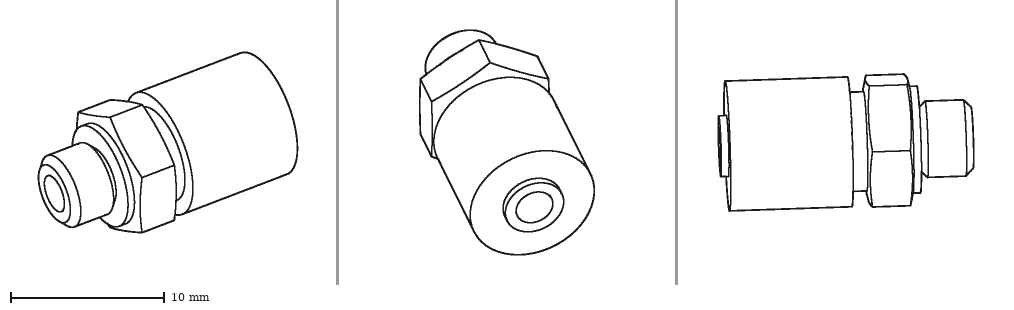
import cadquery as cq
import math

thread_chamfer = 0.5
relief_start = 3.0
collar_start = 3.5
hex_start = 4.0
hex_end = 7.0
sleeve_start = 8.0
sleeve_end = 16.0
total_length = 16.5

bore_diameter = 2.5
thread_diameter = 5.0
thread_tip_diameter = thread_diameter - 2 * thread_chamfer
collar_diameter = 7.0
neck_diameter = 6.5
sleeve_diameter = 8.5
tube_diameter = 4.0

hex_across_flats = 8.0
hex_across_corners = hex_across_flats / math.cos(math.pi / 6)
hex_face_diameter = collar_diameter
hex_chamfer_length = 0.26


def cylinder(diameter, start, end):
    """Solid cylinder on the Y axis between two stations."""
    plane = cq.Workplane("XZ", origin=(0, start, 0))
    return plane.circle(diameter / 2).extrude(start - end)


def revolve_about_y(points):
    """Solid of revolution from a closed (radius, station) outline."""
    return cq.Workplane("XY").polyline(points).close().revolve(360, (0, 0, 0), (0, 1, 0))


def threaded_end():
    """Stub with a chamfered tip and a tapered relief against the collar."""
    tip_radius = thread_tip_diameter / 2
    thread_radius = thread_diameter / 2
    return revolve_about_y([
        (0, 0),
        (tip_radius, 0),
        (thread_radius, thread_chamfer),
        (thread_radius, relief_start),
        (tip_radius, collar_start),
        (0, collar_start),
    ])


def hex_nut():
    """Hexagon whose corners are trimmed by a cone at both ends."""
    prism = (
        cq.Workplane("XZ", origin=(0, hex_start, 0))
        .polygon(6, hex_across_corners)
        .extrude(hex_start - hex_end)
        .rotate((0, 0, 0), (0, 1, 0), 30)
    )
    face_radius = hex_face_diameter / 2
    corner_radius = hex_across_corners / 2
    envelope = revolve_about_y([
        (0, hex_start),
        (face_radius, hex_start),
        (corner_radius, hex_start + hex_chamfer_length),
        (corner_radius, hex_end - hex_chamfer_length),
        (face_radius, hex_end),
        (0, hex_end),
    ])
    return prism.intersect(envelope)


body = (
    threaded_end()
    .union(cylinder(collar_diameter, collar_start, hex_start))
    .union(hex_nut())
    .union(cylinder(neck_diameter, hex_end, sleeve_start))
    .union(cylinder(sleeve_diameter, sleeve_start, sleeve_end))
    .union(cylinder(tube_diameter, sleeve_end, total_length))
)
result = body.cut(cylinder(bore_diameter, 0, total_length))